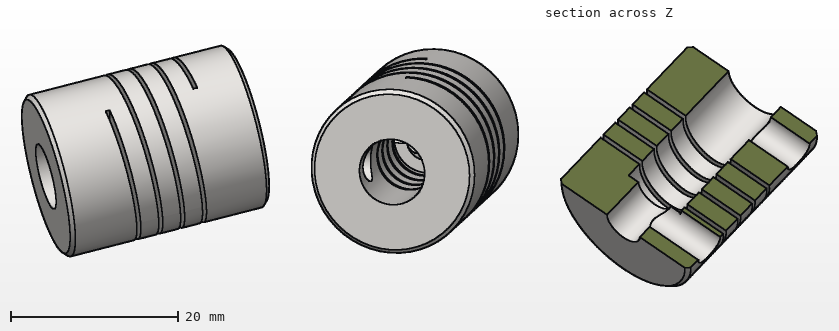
import cadquery as cq

length = 25.0
outer_diameter = 20.0
end_chamfer = 0.5

large_bore_diameter = 8.0
large_bore_depth = 19.0
small_bore_diameter = 5.0

screw_hole_diameter = 4.13
screw_hole_end_distance = 4.0

slot_width = 0.5
slot_pitch = 2.75
slot_turns = 4
slot_start_y = large_bore_depth - slot_width / 2 - slot_pitch * slot_turns
slot_overcut = 0.2

outer_radius = outer_diameter / 2
large_bore_radius = large_bore_diameter / 2
quarter_turn = 90


def cylinder_along_y(diameter, start_y, end_y):
    """Solid cylinder on the part axis between two Y positions."""
    disc = cq.Workplane("XZ", origin=(0, start_y, 0)).circle(diameter / 2)
    return disc.extrude(start_y - end_y)


def make_body():
    body = cylinder_along_y(outer_diameter, 0, length)
    return body.faces("<Y or >Y").edges().chamfer(end_chamfer)


def make_bore():
    large_bore = cylinder_along_y(large_bore_diameter, 0, large_bore_depth)
    small_bore = cylinder_along_y(small_bore_diameter, 0, length)
    return large_bore.union(small_bore)


def make_screw_hole(center_y):
    """Radial hole running from the -X side to the part axis."""
    circle = cq.Workplane("YZ", origin=(0, center_y, 0)).circle(screw_hole_diameter / 2)
    return circle.extrude(-outer_radius)


def make_helical_slot():
    """Rectangle swept along a helix, reaching from inside the large bore to outside the body."""
    inner_radius = large_bore_radius - slot_overcut
    cutter_depth = outer_radius + slot_overcut - inner_radius
    middle_radius = inner_radius + cutter_depth / 2
    helix = cq.Wire.makeHelix(slot_pitch, slot_pitch * slot_turns, middle_radius)
    profile = cq.Workplane("XZ").center(middle_radius, 0).rect(cutter_depth, slot_width)
    cutter = profile.sweep(cq.Workplane(obj=helix), isFrenet=True)
    cutter = cutter.rotate((0, 0, 0), (1, 0, 0), -quarter_turn)
    cutter = cutter.rotate((0, 0, 0), (0, 1, 0), -quarter_turn)
    return cutter.translate((0, slot_start_y, 0))


result = make_body().cut(make_bore()).cut(make_helical_slot())
for hole_y in (screw_hole_end_distance, length - screw_hole_end_distance):
    result = result.cut(make_screw_hole(hole_y))